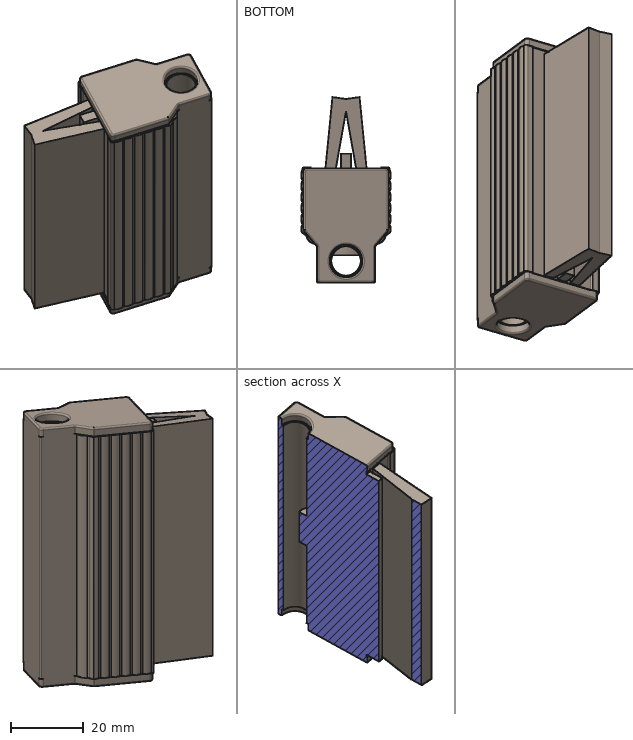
import cadquery as cq
import math

height = 75.0
width = 24.7
back_y = 25.5
blade_tip_y = -25.5

cap_height = 2.5
cap_front_y = -6.0
cap_half_width = 11.7
neck_half_width = 8.0
neck_end_y = 15.45
shoulder_y = 11.1
cap_corner_radius = 1.0
cap_shoulder_radius = 0.5
cap_edge_radius = 0.5

hole_y = 19.5
cap_hole_diameter = 9.0
body_hole_diameter = 8.0

lip_front_y = -6.2
rib_radius = 3.0
rib_pitch = 3.0
rib_gap = 0.5
rib_count = 5
first_rib_y = 9.2
rib_half_chord = (rib_pitch - rib_gap) / 2
rib_axis_x = width / 2 - rib_radius
side_half_width = rib_axis_x + math.sqrt(rib_radius**2 - rib_half_chord**2)
shoulder_rib_start_y = 14.9
shoulder_rib_end = (10.9, 12.7)
shoulder_groove_end = (11.25, 12.3)
corner_crease_y = 11.3
front_corner_radius = 0.75
back_edge_radius = 0.5

channel_half_width = 9.7
channel_depth = 0.56
channel_fillet = 0.5
channel_floor_y = lip_front_y + channel_depth

boss_diameter = 11.5
boss_end_y = 18.0

blade_bottom_z = 2.9
blade_top_z = 71.55
blade_root_half_width = 5.8
blade_tip_half_width = 3.75
blade_notch_depth = 0.5
opening_root_half_width = 2.9
opening_apex_y = -21.4
bar_half_width = 1.4
bar_front_y = -10.0

root_overlap = 0.75


def cap():
    """Bottom cap, with its outer face on Z = 0."""
    shoulder_zone = cq.selectors.BoxSelector(
        (-width, shoulder_y - cap_corner_radius, 0),
        (width, neck_end_y + cap_corner_radius, cap_height),
    )
    right_side = [
        (neck_half_width, back_y),
        (neck_half_width, neck_end_y),
        (cap_half_width, shoulder_y),
        (cap_half_width, cap_front_y),
    ]
    left_side = [(-x, y) for x, y in reversed(right_side)]
    plate = cq.Workplane("XY").polyline(right_side + left_side).close().extrude(cap_height)
    plate = plate.edges("|Z and (<Y or >Y)").fillet(cap_corner_radius)
    plate = plate.edges(shoulder_zone).edges("|Z").fillet(cap_shoulder_radius)
    plate = plate.cut(
        cq.Workplane("XY").center(0, hole_y).circle(cap_hole_diameter / 2).extrude(cap_height)
    )
    return plate.faces("<Z").edges().fillet(cap_edge_radius)


def housing_half():
    """Right half of the housing profile, extruded between the caps."""
    corner_rib_axis_y = first_rib_y + rib_gap + rib_half_chord
    crease_reach = math.sqrt(rib_radius**2 - (corner_crease_y - corner_rib_axis_y) ** 2)
    corner_crease = (rib_axis_x + crease_reach, corner_crease_y)

    profile = (
        cq.Workplane("XY")
        .workplane(offset=cap_height)
        .moveTo(0, back_y)
        .lineTo(neck_half_width - back_edge_radius, back_y)
        .radiusArc((neck_half_width, back_y - back_edge_radius), back_edge_radius)
        .lineTo(neck_half_width, shoulder_rib_start_y)
        .radiusArc(shoulder_rib_end, rib_radius)
        .lineTo(*shoulder_groove_end)
        .radiusArc(corner_crease, rib_radius)
        .radiusArc((side_half_width, first_rib_y + rib_gap), rib_radius)
    )
    for i in range(rib_count):
        rib_start_y = first_rib_y - i * rib_pitch
        rib_end_y = rib_start_y - rib_pitch + rib_gap
        profile = profile.lineTo(side_half_width, rib_start_y)
        profile = profile.radiusArc((side_half_width, rib_end_y), rib_radius)
    profile = (
        profile.lineTo(side_half_width, lip_front_y + front_corner_radius)
        .radiusArc((side_half_width - front_corner_radius, lip_front_y), front_corner_radius)
        .lineTo(0, lip_front_y)
        .close()
    )
    return profile.extrude(height - 2 * cap_height)


def channel():
    """Cutter for the front channel, with rounded floor corners."""
    return (
        cq.Workplane("XY")
        .box(2 * channel_half_width, 2 * channel_depth, height, centered=(True, True, False))
        .edges("|Z and >Y")
        .fillet(channel_fillet)
        .translate((0, lip_front_y, 0))
    )


def cord_hole():
    hole = cq.Workplane("XY").workplane(offset=cap_height).center(0, hole_y)
    return hole.circle(body_hole_diameter / 2).extrude(height - 2 * cap_height)


def boss():
    cylinder = cq.Workplane("XZ", origin=(0, boss_end_y, height / 2)).circle(boss_diameter / 2)
    return cylinder.extrude(boss_end_y - channel_floor_y - root_overlap)


def blade():
    root_y = channel_floor_y + root_overlap
    outline = [
        (blade_root_half_width, root_y),
        (blade_tip_half_width, blade_tip_y),
        (0, blade_tip_y + blade_notch_depth),
        (-blade_tip_half_width, blade_tip_y),
        (-blade_root_half_width, root_y),
        (-opening_root_half_width, root_y),
        (0, opening_apex_y),
        (opening_root_half_width, root_y),
    ]
    blank = cq.Workplane("XY").workplane(offset=blade_bottom_z).polyline(outline).close()
    return blank.extrude(blade_top_z - blade_bottom_z)


def stop_bar():
    length = channel_floor_y + root_overlap - bar_front_y
    return (
        cq.Workplane("XY")
        .box(2 * bar_half_width, length, blade_top_z - blade_bottom_z, centered=(True, False, False))
        .translate((0, bar_front_y, blade_bottom_z))
    )


bottom_cap = cap()
top_cap = bottom_cap.mirror("XY", (0, 0, height / 2))
right_half = housing_half()
housing = right_half.union(right_half.mirror("YZ")).cut(channel()).cut(cord_hole())

result = housing.union(boss()).union(bottom_cap).union(top_cap).union(blade()).union(stop_bar())